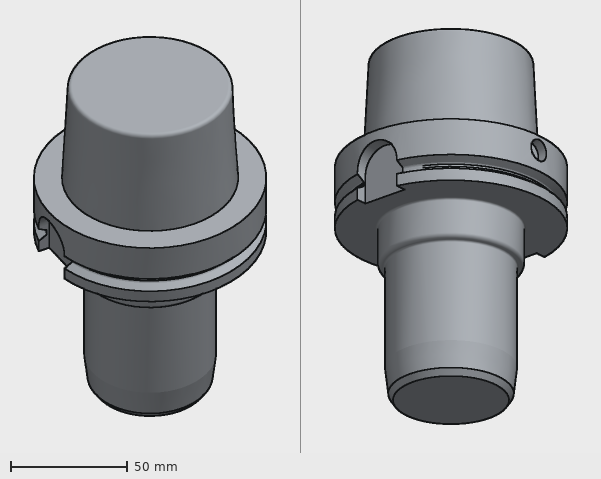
import cadquery as cq

total_length = 160.0
shank_length = 50.0
flange_thickness = 29.0
flange_top = total_length - shank_length
flange_bottom = flange_top - flange_thickness
nose_chamfer_top = 3.0
nose_taper_top = 15.4
collar_bottom = 62.7

flange_radius = 100.0 / 2
collar_radius = 63.0 / 2
body_radius = 57.0 / 2
nose_taper_radius = 27.0
nose_end_radius = 25.0
shank_base_radius = 38.0
shank_top_radius = 35.5

shank_rounding = 2.0
neck_fillet = 1.0
collar_rounding = collar_radius - body_radius - neck_fillet

groove_radius = 46.0
groove_upper_edge = flange_top - 16.8
groove_floor_top = flange_top - 19.0
groove_floor_bottom = flange_top - 21.3
groove_lower_edge = flange_top - 23.4
groove_corner_fillet = 1.0

slot_width = 22.2
slot_top = flange_top - 4.8
slot_floor_distance = 43.5

radial_hole_diameter = 10.0
radial_hole_depth = 4.8
pilot_diameter = 2.0
pilot_depth = 2.4
radial_hole_height = flange_top - 6.9


def turned_body():
    """Solid of revolution: nose, body, collar, grooved flange and tapered shank."""
    return (
        cq.Workplane("XZ")
        .lineTo(nose_end_radius, 0)
        .lineTo(nose_taper_radius, nose_chamfer_top)
        .lineTo(body_radius, nose_taper_top)
        .lineTo(body_radius, collar_bottom - neck_fillet)
        .radiusArc((body_radius + neck_fillet, collar_bottom), neck_fillet)
        .radiusArc((collar_radius, collar_bottom + collar_rounding), -collar_rounding)
        .lineTo(collar_radius, flange_bottom - neck_fillet)
        .radiusArc((collar_radius + neck_fillet, flange_bottom), neck_fillet)
        .lineTo(flange_radius, flange_bottom)
        .lineTo(flange_radius, groove_lower_edge)
        .lineTo(groove_radius, groove_floor_bottom)
        .lineTo(groove_radius, groove_floor_top)
        .lineTo(flange_radius, groove_upper_edge)
        .lineTo(flange_radius, flange_top)
        .lineTo(shank_base_radius, flange_top)
        .lineTo(shank_top_radius, total_length - shank_rounding)
        .radiusArc((shank_top_radius - shank_rounding, total_length), -shank_rounding)
        .lineTo(0, total_length)
        .close()
        .revolve(360, (0, 0, 0), (0, 1, 0))
    )


def groove_floor_edges(body):
    """The two circular edges bounding the floor of the gripper groove."""
    reach = groove_radius + groove_corner_fillet
    floor_box = cq.selectors.BoxSelector(
        (-reach, -reach, groove_floor_bottom - groove_corner_fillet / 2),
        (reach, reach, groove_floor_top + groove_corner_fillet / 2),
        boundingbox=True,
    )
    return body.edges(floor_box).edges("%CIRCLE")


def drive_slot():
    """Round-topped cutter for the -Y drive slot, open at the flange bottom."""
    half_width = slot_width / 2
    shoulder = slot_top - half_width
    return (
        cq.Workplane("XZ", origin=(0, -slot_floor_distance, 0))
        .moveTo(-half_width, flange_bottom)
        .lineTo(-half_width, shoulder)
        .threePointArc((0, slot_top), (half_width, shoulder))
        .lineTo(half_width, flange_bottom)
        .close()
        .extrude(flange_radius - slot_floor_distance)
    )


def radial_hole():
    """Stepped cutter entering the flange rim from -X."""
    rim = cq.Workplane("YZ", origin=(-flange_radius, 0, radial_hole_height))
    bore = rim.circle(radial_hole_diameter / 2).extrude(radial_hole_depth)
    pilot = rim.circle(pilot_diameter / 2).extrude(radial_hole_depth + pilot_depth)
    return bore.union(pilot)


body = turned_body()
result = groove_floor_edges(body).fillet(groove_corner_fillet)
for side_angle in (0, 180):
    result = result.cut(drive_slot().rotate((0, 0, 0), (0, 0, 1), side_angle))
result = result.cut(radial_hole())